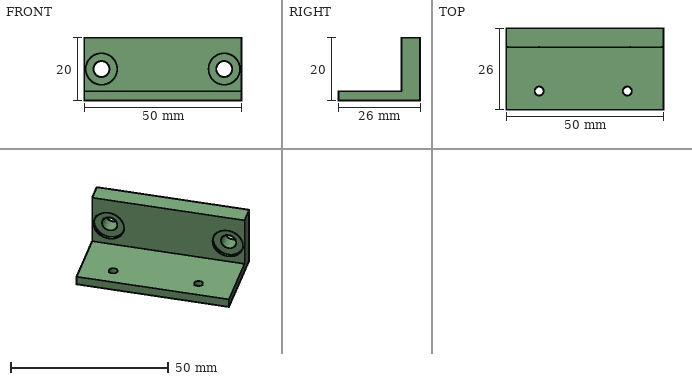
import cadquery as cq

length = 50.0
depth = 26.0
height = 20.0
base_thickness = 3.0
wall_thickness = 6.0

wall_hole_diameter = 5.0
counterbore_diameter = 10.0
counterbore_depth = 1.0
wall_hole_spacing = 39.0
wall_hole_height = height / 2

base_hole_diameter = 2.8
base_hole_spacing = 28.0
base_hole_shift = -0.5
base_hole_setback = 6.0

wall_front = depth - wall_thickness


def make_bracket():
    """L-shaped body, centred in X, with its front edge at Y = 0."""
    base = cq.Workplane("XY").box(length, depth, base_thickness, centered=(True, False, False))
    wall = (
        cq.Workplane("XY", origin=(0, wall_front, 0))
        .box(length, wall_thickness, height, centered=(True, False, False))
    )
    return base.union(wall)


def drill_wall(body):
    """Counterbored holes entering the wall from its front face."""
    half_spacing = wall_hole_spacing / 2
    return (
        body.copyWorkplane(cq.Workplane("XZ", origin=(0, wall_front, 0)))
        .pushPoints([(-half_spacing, wall_hole_height), (half_spacing, wall_hole_height)])
        .cboreHole(wall_hole_diameter, counterbore_diameter, counterbore_depth, wall_thickness)
    )


def drill_base(body):
    """Plain holes entering the base from its upper face."""
    left = base_hole_shift - base_hole_spacing / 2
    right = base_hole_shift + base_hole_spacing / 2
    return (
        body.copyWorkplane(cq.Workplane("XY", origin=(0, 0, base_thickness)))
        .pushPoints([(left, base_hole_setback), (right, base_hole_setback)])
        .hole(base_hole_diameter, base_thickness)
    )


result = drill_base(drill_wall(make_bracket()))